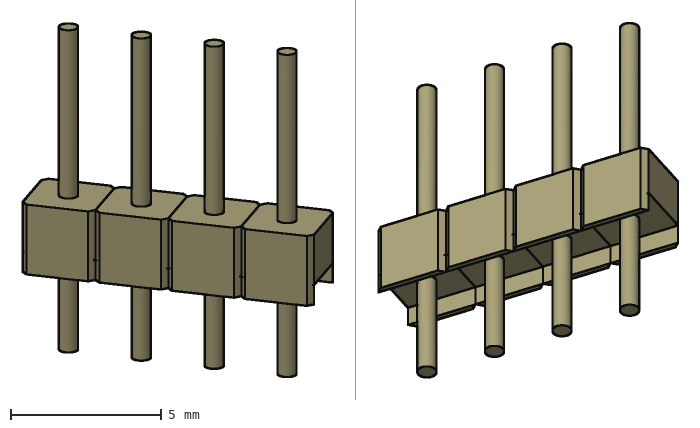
import cadquery as cq

module_count = 4
row_length = 10.15
module_pitch = row_length / module_count

block_depth = 2.5
block_height = 2.5
corner_chamfer = 0.2

channel_height = 0.7
channel_width = block_depth - 2 * corner_chamfer

pin_diameter = 0.64
pin_length = 11.5
block_bottom = 3.0


def make_block():
    """Block with chamfered vertical corners and an open channel underneath."""
    block = (
        cq.Workplane("XY", origin=(0, 0, block_bottom))
        .box(module_pitch, block_depth, block_height, centered=(True, True, False))
        .edges("|Z")
        .chamfer(corner_chamfer)
    )
    channel = cq.Workplane("XY", origin=(0, 0, block_bottom)).box(
        module_pitch, channel_width, channel_height, centered=(True, True, False)
    )
    return block.cut(channel)


def make_pin():
    """Round pin running through the middle of the block."""
    return cq.Workplane("XY").circle(pin_diameter / 2).extrude(pin_length)


def make_header_module(x_center):
    """One module: block and pin as a single solid, centred at x_center."""
    return make_block().union(make_pin()).translate((x_center, 0, 0))


header_modules = []
for index in range(module_count):
    x_center = (index - (module_count - 1) / 2) * module_pitch
    header_modules.append(make_header_module(x_center).val())

result = cq.Compound.makeCompound(header_modules)